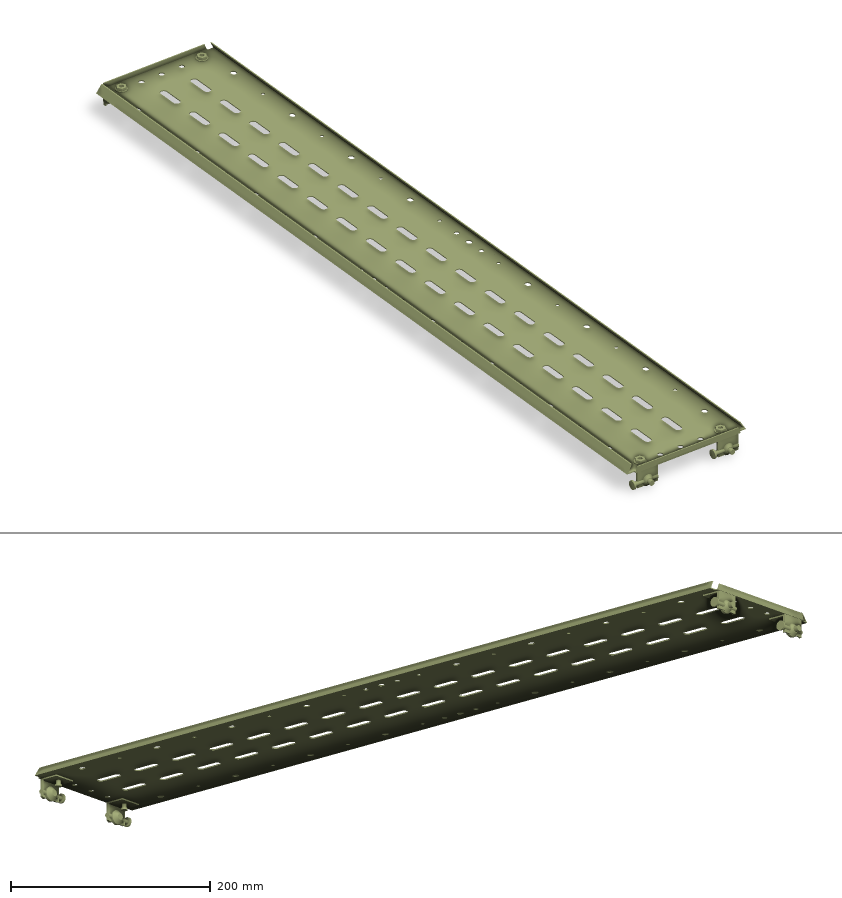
import cadquery as cq
import math

overall_length = 922.4
overall_width = 147.66
overall_height = 30.52

sheet = 1.2
tray_height = 9.5
tray_half_length = 454.0
lip_half_length = 451.0
lip_overhang = 5.5
lip_depth = 12.0
lip_corner_cut = 1.5
end_wall_height = 7.0
end_wall_half_width_top = 62.5
end_wall_half_width_bottom = 65.0

pitch = 50.0
slot_columns = 17
slot_length = 30.0
slot_width = 8.0
slot_row_y = 19.0
edge_row_y = 59.7
edge_slot_length = 7.5
edge_slot_width = 6.0
edge_hole_diameter = 4.0
center_hole_offset = 21.0
center_hole_diameter = 5.5
end_hole_x = 440.5
end_hole_pitch = 25.0
end_hole_diameter = 6.0

bracket_y = 50.0
bracket_sheet = 1.5
bracket_width = 25.0
bracket_outer_x = 453.5
bracket_inner_x = 432.0
bracket_drop = 19.0
ear_depth = 3.0

screw_diameter = 5.0
washer_diameter = 13.0
washer_thickness = 1.0
screw_head_diameter = 11.0
screw_head_height = 3.0
socket_diameter = 5.5
socket_depth = 2.0
screw_tip_z = -8.0
nut_diameter = 7.0
nut_height = 2.0

knob_diameter = 15.0
knob_bevel = 4.0
knob_inner_x = 445.5
knob_outer_x = 456.5
stud_diameter = 6.0
pin_diameter = 5.0
pin_head_diameter = 10.0
pin_head_thickness = 2.0
pin_reach = 19.0
pin_x = 452.5
bottom_z = tray_height - overall_height
knob_z = bottom_z + knob_diameter / 2


def lip():
    """Inward-leaning fold along the +Y edge."""
    outer_y = overall_width / 2
    lean = math.atan2(tray_height, lip_overhang)
    skin = sheet / math.sin(lean)
    section = [
        (outer_y - lip_depth, 0),
        (outer_y, 0),
        (outer_y - lip_overhang, tray_height),
        (outer_y - lip_overhang - skin, tray_height),
        (outer_y - skin - sheet / math.tan(lean), sheet),
        (outer_y - lip_depth, sheet),
    ]
    strip = (
        cq.Workplane("YZ", origin=(-lip_half_length, 0, 0))
        .polyline(section).close().extrude(2 * lip_half_length)
    )
    corner = (
        cq.Workplane("XZ", origin=(lip_half_length, outer_y, tray_height))
        .polyline([(0, 0), (-lip_corner_cut, 0), (0, -tray_height)]).close()
        .extrude(lip_depth)
    )
    return strip.cut(corner).cut(corner.mirror("YZ"))


def end_wall():
    """Upright fold at the +X end, tapering toward its top."""
    section = [
        (-end_wall_half_width_bottom, 0),
        (end_wall_half_width_bottom, 0),
        (end_wall_half_width_top, end_wall_height),
        (-end_wall_half_width_top, end_wall_height),
    ]
    return (
        cq.Workplane("YZ", origin=(tray_half_length - sheet, 0, 0))
        .polyline(section).close().extrude(sheet)
    )


def tray():
    floor_size = (2 * tray_half_length, 2 * end_wall_half_width_bottom, sheet)
    body = cq.Workplane("XY").box(*floor_size, centered=(True, True, False))
    body = body.union(lip()).union(lip().mirror("XZ"))
    return body.union(end_wall()).union(end_wall().mirror("YZ"))


def floor_cutters():
    """All openings of the floor as one set of cutting bodies."""
    half_count = slot_columns // 2
    columns = range(-half_count, half_count + 1)
    both_sides = (-1, 1)
    slots = [(i * pitch, s * slot_row_y) for i in columns for s in both_sides]
    edge_slots = [(i * pitch, s * edge_row_y) for i in columns if i % 2 == 0 for s in both_sides]
    edge_holes = [(i * pitch, s * edge_row_y) for i in columns if i % 2 for s in both_sides]
    center_holes = [(i * center_hole_offset, s * edge_row_y) for i in both_sides for s in both_sides]
    end_holes = [(s * end_hole_x, i * end_hole_pitch) for s in both_sides for i in (-1, 0, 1)]

    plane = cq.Workplane("XY")
    cutters = plane.pushPoints(slots).slot2D(slot_length, slot_width).extrude(sheet)
    cutters = cutters.add(
        plane.pushPoints(edge_slots).slot2D(edge_slot_length, edge_slot_width).extrude(sheet)
    )
    round_holes = [
        (edge_holes, edge_hole_diameter),
        (center_holes, center_hole_diameter),
        (end_holes, end_hole_diameter),
    ]
    for places, diameter in round_holes:
        cutters = cutters.add(plane.pushPoints(places).circle(diameter / 2).extrude(sheet))
    return cutters.combine()


def block(x_range, y_range, z_range):
    """Box given by its limits along each axis."""
    size = [r[1] - r[0] for r in (x_range, y_range, z_range)]
    corner = (x_range[0], y_range[0], z_range[0])
    return cq.Workplane("XY", origin=corner).box(*size, centered=False)


def bracket():
    """Angle bracket with two ears, centred on y = 0 at the +X end."""
    half = bracket_width / 2
    width = (-half, half)
    foot = block((bracket_inner_x, bracket_outer_x), width, (-bracket_sheet, 0))
    web = block((bracket_outer_x - bracket_sheet, bracket_outer_x), width, (-bracket_drop, 0))
    ear_x = (bracket_outer_x - ear_depth, bracket_outer_x)
    ear = block(ear_x, (half - bracket_sheet, half), (-bracket_drop, 0))
    return foot.union(web).union(ear).union(ear.mirror("XZ"))


def mounting_screw():
    """Screw through the floor with a washer and a hexagonal socket head above and a nut below."""
    screw = (
        cq.Workplane("XY", origin=(end_hole_x, 0, screw_tip_z))
        .circle(screw_diameter / 2).extrude(sheet - screw_tip_z)
    )
    washer = (
        cq.Workplane("XY", origin=(end_hole_x, 0, sheet))
        .circle(washer_diameter / 2).extrude(washer_thickness)
    )
    head = (
        cq.Workplane("XY", origin=(end_hole_x, 0, sheet + washer_thickness))
        .transformed(rotate=(0, 0, 90))
        .polygon(6, screw_head_diameter).extrude(screw_head_height)
        .faces(">Z").workplane().polygon(6, socket_diameter).cutBlind(-socket_depth)
    )
    nut = (
        cq.Workplane("XY", origin=(end_hole_x, 0, screw_tip_z))
        .circle(nut_diameter / 2).extrude(nut_height)
    )
    return screw.union(washer).union(head).union(nut)


def clamp():
    """Bevelled knob along X with an outward stud, crossed by a headed pin along Y."""
    knob = (
        cq.Workplane("YZ", origin=(knob_inner_x, 0, knob_z))
        .circle(knob_diameter / 2).extrude(knob_outer_x - knob_inner_x)
        .edges().chamfer(knob_bevel)
    )
    stud = (
        cq.Workplane("YZ", origin=(pin_x, 0, knob_z))
        .circle(stud_diameter / 2).extrude(overall_length / 2 - pin_x)
    )
    pin = (
        cq.Workplane("XZ", origin=(pin_x, bracket_width / 2, knob_z))
        .circle(pin_diameter / 2).extrude(bracket_width / 2 + pin_reach)
    )
    pin_head = (
        cq.Workplane("XZ", origin=(pin_x, pin_head_thickness - pin_reach, knob_z))
        .circle(pin_head_diameter / 2).extrude(pin_head_thickness)
    )
    return knob.union(stud).union(pin).union(pin_head)


result = tray().cut(floor_cutters())
hanger = bracket().union(mounting_screw()).union(clamp())
for side in (-1, 1):
    placed = hanger.translate((0, side * bracket_y, 0))
    result = result.union(placed)
    result = result.union(placed.rotate((0, 0, 0), (0, 0, 1), 180))